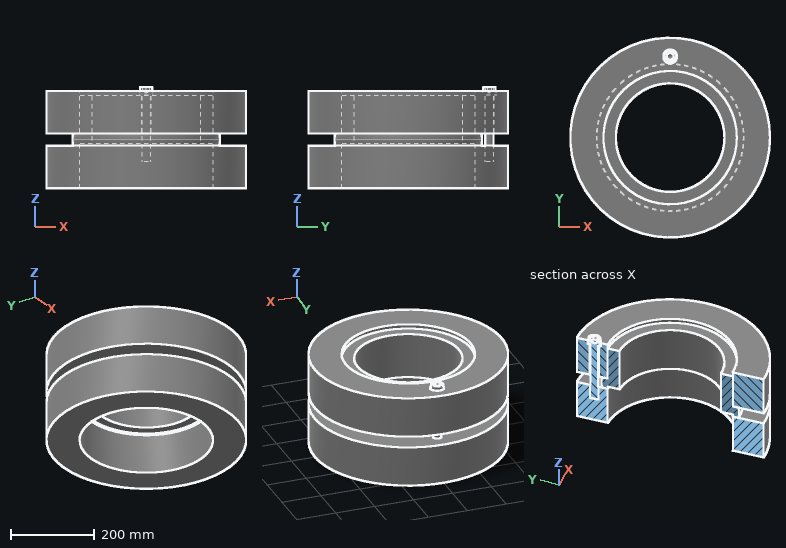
import cadquery as cq
import math

flange_diameter = 480.0
flange_height = 102.5
flange_gap = 29.0
flange_bore = 320.0
upper_base = flange_height + flange_gap
stack_height = upper_base + flange_height

ring_bore = 260.0
ring_recess = 11.5
ring_bore_length = 115.0
collar_edge_diameter = 351.5
collar_middle_diameter = 355.0
ring_top = stack_height - ring_recess
ring_bore_bottom = ring_top - ring_bore_length

screw_y = 195.0
shank_diameter = 20.0
clearance_diameter = 22.0
counterbore_diameter = 33.0
head_diameter = 30.0
head_height = 20.0
head_exposed = 9.5
head_edge_radius = 2.0
socket_flats = 17.0
socket_depth = 10.0
drill_angle = 120.0
screw_depth = 38.5
head_seat = stack_height + head_exposed - head_height
socket_corners = socket_flats / math.cos(math.pi / 6)
drill_point_height = socket_flats / 2 / math.tan(math.radians(drill_angle / 2))


def cylinder(diameter, bottom, top, y=0.0):
    """Vertical cylinder between two heights, centred on x = 0."""
    return cq.Workplane("XY", origin=(0, y, bottom)).circle(diameter / 2).extrude(top - bottom)


def make_flange(bottom):
    """Plain flange with a through bore."""
    top = bottom + flange_height
    return cylinder(flange_diameter, bottom, top).cut(cylinder(flange_bore, bottom, top))


def make_lower_flange():
    """Flange with a blind hole for the screw shank."""
    hole = cylinder(shank_diameter, flange_height - screw_depth, flange_height, screw_y)
    return make_flange(0).cut(hole)


def make_upper_flange():
    """Flange with a counterbored clearance hole for the screw."""
    hole = cylinder(clearance_diameter, upper_base, stack_height, screw_y)
    counterbore = cylinder(counterbore_diameter, head_seat, stack_height, screw_y)
    return make_flange(upper_base).cut(hole).cut(counterbore)


def make_ring():
    """Sleeve and collar revolved as one ring; the bore widens at its lower end."""
    middle = flange_height + flange_gap / 2
    collar_edge = collar_edge_diameter / 2
    collar_middle = collar_middle_diameter / 2
    bulge = collar_middle - collar_edge
    collar_radius = ((flange_gap / 2) ** 2 + bulge**2) / (2 * bulge)
    return (
        cq.Workplane("XZ")
        .moveTo(ring_bore / 2, ring_bore_bottom)
        .lineTo(flange_bore / 2, ring_bore_bottom)
        .lineTo(flange_bore / 2, flange_height)
        .lineTo(collar_edge, flange_height)
        .radiusArc((collar_middle, middle), -collar_radius)
        .radiusArc((collar_edge, upper_base), -collar_radius)
        .lineTo(flange_bore / 2, upper_base)
        .lineTo(flange_bore / 2, ring_top)
        .lineTo(ring_bore / 2, ring_top)
        .close()
        .revolve(360, (0, 0, 0), (0, 1, 0))
    )


def make_socket():
    """Hexagonal socket, corners toward +Y and -Y, with a conical drill point below."""
    socket_floor = head_seat + head_height - socket_depth
    hexagon = (
        cq.Workplane("XY", origin=(0, screw_y, socket_floor))
        .transformed(rotate=(0, 0, 90))
        .polygon(6, socket_corners)
        .extrude(socket_depth)
    )
    drill_point = cq.Workplane(
        cq.Solid.makeCone(
            0, socket_flats / 2, drill_point_height, cq.Vector(0, screw_y, socket_floor - drill_point_height)
        )
    )
    return hexagon.union(drill_point)


def make_screw():
    """Screw with a rounded cylindrical head and a hexagonal socket."""
    head = cylinder(head_diameter, head_seat, head_seat + head_height, screw_y)
    head = head.faces(">Z").edges().fillet(head_edge_radius)
    shank = cylinder(shank_diameter, flange_height - screw_depth, head_seat, screw_y)
    return head.union(shank).cut(make_socket())


lower_flange = make_lower_flange()
upper_flange = make_upper_flange()
ring = make_ring()
screw = make_screw()

result = cq.Compound.makeCompound([lower_flange.val(), upper_flange.val(), ring.val(), screw.val()])